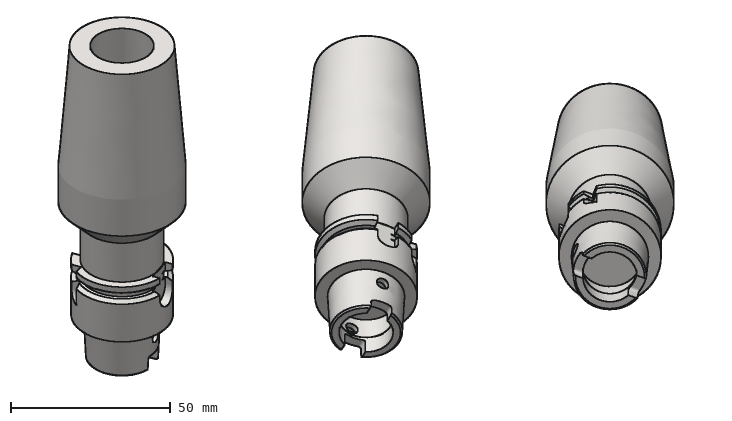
import cadquery as cq

total_height = 116.0
nose_top_radius = 16.5
nose_radius = 20.01
cone_bottom_z = 71.6
nose_bottom_z = 58.0
neck_top_z = 50.9
neck_radius = 13.1

flange_radius = 16.0
flange_bottom_z = 16.0
flange_top_z = 36.4
groove_radius = 13.1
groove_shoulder_radius = 14.4
groove_outer_top_z = 34.2
groove_inner_top_z = 33.3
groove_inner_bottom_z = 31.0
groove_outer_bottom_z = 30.0

shank_top_radius = 12.1
shank_bottom_radius = 11.4
shank_chamfer = 0.6
shank_mouth_radius = 8.5
shank_chamber_radius = 10.1
clamping_cone_bottom_z = 6.5
shank_bore_depth = flange_bottom_z
cross_hole_radius = 2.03
cross_hole_z = 11.1

tool_bore_radius = 10.0
tool_bore_depth = 49.9

keyway_bottom_z = 24.0
keyway_floor = 12.9
narrow_slot_width = 7.2
wide_slot_width = 9.0
corner_notch_wall = 9.6
left_drive_slot_height = 3.1
right_drive_slot_height = 5.3
drive_slot_corner_radius = 1.0


def make_body():
    return (
        cq.Workplane("XZ")
        .moveTo(0, 0)
        .lineTo(shank_bottom_radius - shank_chamfer, 0)
        .lineTo(shank_bottom_radius, shank_chamfer)
        .lineTo(shank_top_radius, flange_bottom_z)
        .lineTo(flange_radius, flange_bottom_z)
        .lineTo(flange_radius, groove_outer_bottom_z)
        .lineTo(groove_shoulder_radius, groove_inner_bottom_z)
        .lineTo(groove_radius, groove_inner_bottom_z)
        .lineTo(groove_radius, groove_inner_top_z)
        .lineTo(groove_shoulder_radius, groove_inner_top_z)
        .lineTo(flange_radius, groove_outer_top_z)
        .lineTo(flange_radius, flange_top_z)
        .lineTo(neck_radius, flange_top_z)
        .lineTo(neck_radius, neck_top_z)
        .lineTo(nose_radius, nose_bottom_z)
        .lineTo(nose_radius, cone_bottom_z)
        .lineTo(nose_top_radius, total_height)
        .lineTo(0, total_height)
        .close()
        .revolve(360, (0, 0, 0), (0, 1, 0))
    )


def make_shank_bore():
    """Bore that widens through a 45 degree clamping cone into a chamber."""
    cone_height = shank_chamber_radius - shank_mouth_radius
    return (
        cq.Workplane("XZ")
        .lineTo(shank_mouth_radius, 0)
        .lineTo(shank_mouth_radius, clamping_cone_bottom_z)
        .lineTo(shank_chamber_radius, clamping_cone_bottom_z + cone_height)
        .lineTo(shank_chamber_radius, shank_bore_depth)
        .lineTo(0, shank_bore_depth)
        .close()
        .revolve(360, (0, 0, 0), (0, 1, 0))
    )


def keyway_cutter(side, width, center_y, floor):
    """Round-bottomed slot milled along X; side is -1 for -X and +1 for +X."""
    radius = width / 2
    arc_center_z = keyway_bottom_z + radius
    return (
        cq.Workplane("YZ", origin=(side * floor, 0, 0))
        .moveTo(center_y - radius, flange_top_z)
        .lineTo(center_y - radius, arc_center_z)
        .threePointArc((center_y, keyway_bottom_z), (center_y + radius, arc_center_z))
        .lineTo(center_y + radius, flange_top_z)
        .close()
        .extrude(side * flange_radius)
    )


def drive_slot_cutter(side, width, height):
    """Slot in the shank end, open at the bottom and reaching into the bore."""
    return (
        cq.Workplane("XY")
        .center(side * shank_top_radius / 2, 0)
        .rect(shank_top_radius, width)
        .extrude(height)
        .edges("|X and >Z")
        .fillet(drive_slot_corner_radius)
    )


body = make_body()

tool_bore = (
    cq.Workplane("XY", origin=(0, 0, total_height))
    .circle(tool_bore_radius)
    .extrude(-tool_bore_depth)
)
shank_bore = make_shank_bore()
body = body.cut(tool_bore).cut(shank_bore)

cross_hole = (
    cq.Workplane("YZ", origin=(0, 0, cross_hole_z))
    .circle(cross_hole_radius)
    .extrude(flange_radius, both=True)
)
body = body.cut(cross_hole)

notch_center_y = -(corner_notch_wall + narrow_slot_width / 2)
body = body.cut(keyway_cutter(-1, narrow_slot_width, 0, keyway_floor))
body = body.cut(keyway_cutter(1, wide_slot_width, 0, keyway_floor))
body = body.cut(keyway_cutter(-1, narrow_slot_width, notch_center_y, corner_notch_wall))

body = body.cut(drive_slot_cutter(-1, narrow_slot_width, left_drive_slot_height))
body = body.cut(drive_slot_cutter(1, narrow_slot_width, right_drive_slot_height))

result = body